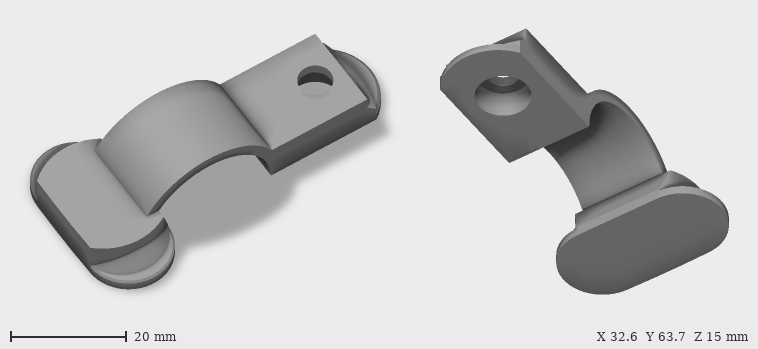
import cadquery as cq
import math


strap_width = 16.55
half_width = strap_width / 2
arch_outer_radius = 15.0
arch_inner_radius = 12.75
block_height = 7.5
block_end_y = 32.6
hole_y = 27.25
hole_diameter = 6.25
counterbore_diameter = 9.9
hole_land = 2.1

rim_height = 2.1
shoulder_height = 5.05

tongue_tip_y = 38.85
tongue_side_y = 34.5
tongue_crown_y = 35.9
tongue_shoulder_start = 3.1
tongue_rim_chamfer = 0.65

foot_length = 32.6
foot_center_y = -16.7
foot_rim_radius = 8.0
foot_rim_center_x = foot_length / 2 - foot_rim_radius
foot_rim_chamfer = 0.4
foot_front_y = -24.85
foot_core_radius = 11.65
foot_corner_x = math.sqrt(foot_core_radius**2 - foot_rim_radius**2)
foot_corner_y = foot_center_y - foot_rim_radius
foot_back_y = foot_center_y + foot_rim_radius
foot_top_back_y = -10.5
foot_cone_reach = 14.35


def arc_radius(half_chord, sagitta):
    return (half_chord**2 + sagitta**2) / (2 * sagitta)


def disc(radius, height, x, y):
    return cq.Workplane("XY").center(x, y).circle(radius).extrude(height)


def cone(base_radius, base_z, x, y):
    """Full 45 degree cone, as high as its base radius."""
    return cq.Workplane(cq.Solid.makeCone(base_radius, 0, base_radius, pnt=cq.Vector(x, y, base_z)))


def box_between(x_half, y_min, y_max, z_min, z_max):
    size = (2 * x_half, y_max - y_min, z_max - z_min)
    return cq.Workplane("XY").box(*size, centered=(True, False, False)).translate((0, y_min, z_min))


def arch_cylinder(radius):
    """Cylinder on the arch axis, as long as the strap is wide."""
    return cq.Workplane("YZ", origin=(-half_width, 0, 0)).circle(radius).extrude(strap_width)


def make_strap():
    arch = arch_cylinder(arch_outer_radius).intersect(
        box_between(half_width, -arch_outer_radius, arch_outer_radius, block_height, arch_outer_radius)
    )
    block = box_between(half_width, 0, block_end_y, 0, block_height)
    body = block.union(arch).cut(arch_cylinder(arch_inner_radius))
    hole = disc(hole_diameter / 2, block_height, 0, hole_y)
    counterbore = disc(counterbore_diameter / 2, block_height - hole_land, 0, hole_y)
    return body.cut(hole).cut(counterbore)


def make_tongue():
    crown_radius = arc_radius(half_width, tongue_crown_y - tongue_side_y)
    rim_radius = arc_radius(half_width, tongue_tip_y - tongue_side_y)
    crown_center_y = tongue_crown_y - crown_radius
    crown_base = disc(crown_radius, tongue_shoulder_start, 0, crown_center_y)
    crown = crown_base.union(cone(crown_radius, tongue_shoulder_start, 0, crown_center_y))
    rim = disc(rim_radius, rim_height, 0, tongue_tip_y - rim_radius)
    rim = rim.faces(">Z").edges().chamfer(tongue_rim_chamfer)
    envelope = box_between(half_width, block_end_y, tongue_tip_y, 0, shoulder_height)
    return crown.intersect(envelope).union(rim.intersect(envelope))


def make_foot():
    foot = (
        cq.Workplane("XY")
        .moveTo(-foot_corner_x, foot_corner_y)
        .threePointArc((0, foot_front_y), (foot_corner_x, foot_corner_y))
        .threePointArc((foot_core_radius, foot_center_y), (foot_corner_x, foot_back_y))
        .lineTo(-foot_corner_x, foot_back_y)
        .threePointArc((-foot_core_radius, foot_center_y), (-foot_corner_x, foot_corner_y))
        .close()
        .extrude(block_height)
    )

    cone_radius = arc_radius(foot_rim_radius, foot_cone_reach - foot_corner_x)
    cone_center_x = foot_cone_reach - cone_radius
    for side in (-1, 1):
        rim = disc(foot_rim_radius, rim_height, side * foot_rim_center_x, foot_center_y)
        rim = rim.faces(">Z").edges().chamfer(foot_rim_chamfer)
        shoulder = cone(cone_radius, rim_height, side * cone_center_x, foot_center_y)
        shoulder = shoulder.intersect(
            box_between(foot_length, foot_corner_y, foot_back_y, rim_height, shoulder_height)
        )
        foot = foot.union(rim).union(shoulder)

    back_slope = (
        cq.Workplane("YZ")
        .moveTo(foot_back_y, rim_height)
        .lineTo(foot_top_back_y, block_height)
        .lineTo(foot_back_y, block_height)
        .close()
        .extrude(foot_length, both=True)
    )
    return foot.cut(back_slope)


strap = make_strap()
tongue = make_tongue()
foot = make_foot()

result = cq.Compound.makeCompound([strap.val(), tongue.val(), foot.val()])